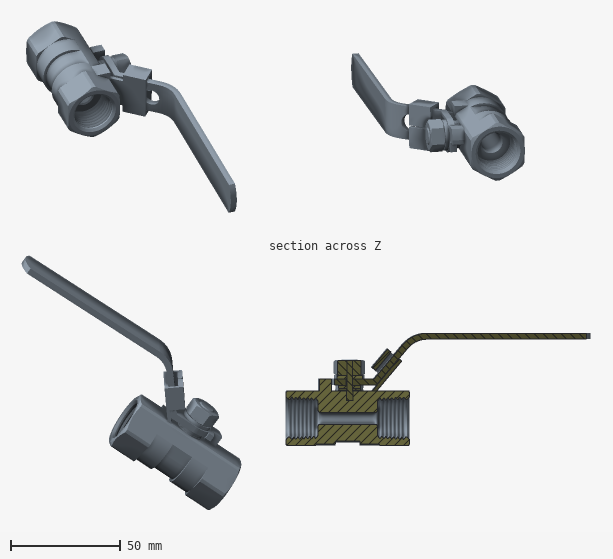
import cadquery as cq
import math


body_length = 56.5
body_centre_x = -0.8
hex_flats = 25.0
hex_round_dia = 28.0
hex_face_dia = 24.8
hex_chamfer_angle = 30.0
hex_length = 13.9
collar_dia = 24.9
neck_dia = 22.1
neck_length = 10.9

body_left = body_centre_x - body_length / 2
deck_y = hex_flats / 2
corner_radius = hex_flats / math.sqrt(3)
shoulder_y = (corner_radius - neck_dia / 2) * math.sqrt(3)

bore_dia = 9.2
bore_mouth_dia = 10.5
thread_entry_dia = 20.9
thread_outer_crest_dia = 18.6
thread_inner_crest_dia = 17.5
thread_groove_depth = 1.1
thread_pitch = 1.8
thread_turns = 8

block_left = 7.1
block_length = 7.5
block_top_z = neck_dia / 2
post_radius = 14.5
post_outer_x = -14.3
post_inner_x = -8.1
post_top_z = 7.0

stem_dia = 8.1
stem_tip_dia = 6.7
stem_tip_slope = 0.6
stem_seat_depth = 4.2
stem_projection = 0.4
seal_dia, seal_height = 13.0, 0.5
thrust_dia, thrust_height = 12.5, 0.7
gland_dia, gland_height = 12.8, 1.4
washer_dia, washer_height = 14.0, 1.7
nut_flats = 13.0
nut_height = 6.7
nut_face_dia = 12.8
nut_turn = -15.0

lever_width = 16.0
lever_thickness = 2.9
lever_top_y = 39.0
lever_slope = 50.0
lever_turn = 1.75
lower_bend_x = 12.4
upper_bend_radius = 11.4
tip_radius = 13.4
overall_length = 139.2
tip_reach = body_left + overall_length
lever_hole_dia = 8.1
lever_hole_along = 17.8
lug_reach = 9.7
lug_root_x = -7.0
lug_top_z = -0.8
lug_bottom_z = -5.4

lock_length = 11.0
lock_depth = 8.6
lock_width = 21.0
lock_wall = 1.7
lock_seam_wall = 2.2
lock_start = 4.7
lock_seam = 0.8
lock_inner_fillet = 0.8
tongue_width = 13.9

thrust_y = deck_y + seal_height
gland_y = thrust_y + thrust_height
lever_y = gland_y + gland_height
washer_y = lever_y + lever_thickness
nut_y = washer_y + washer_height
nut_top_y = nut_y + nut_height
stem_top_y = nut_top_y + stem_projection


def block(x0, x1, y0, y1, z0, z1):
    """Box between two opposite corners."""
    return cq.Workplane("XY").box(x1 - x0, y1 - y0, z1 - z0, centered=False).translate((x0, y0, z0))


def upright_disc(dia, y, height):
    """Disc round the stem axis, rising from level y."""
    return cq.Workplane("XZ", origin=(0, y, 0)).circle(dia / 2).extrude(-height)


def flow_cylinder(dia, x0, x1):
    """Cylinder along the flow axis."""
    return cq.Workplane("YZ", origin=(x0, 0, 0)).circle(dia / 2).extrude(x1 - x0)


def chamfered_turning(length, dia, face_dia, angle):
    """Cylinder on +X from the origin with both ends turned down to face_dia."""
    chamfer = (dia - face_dia) / 2 * math.tan(math.radians(angle))
    profile = [
        (0, 0),
        (0, face_dia / 2),
        (chamfer, dia / 2),
        (length - chamfer, dia / 2),
        (length, face_dia / 2),
        (length, 0),
    ]
    return cq.Workplane("XY").polyline(profile).close().revolve(360, (0, 0, 0), (1, 0, 0))


def port_cutter():
    """Tapered thread with ring grooves, opening at x = 0 and running along +X."""
    depth = thread_pitch * thread_turns
    taper = (thread_outer_crest_dia - thread_inner_crest_dia) / 2 / depth
    entry = (thread_entry_dia - thread_outer_crest_dia) / 2
    bore_chamfer = (bore_mouth_dia - bore_dia) / 2

    def crest(x):
        return thread_outer_crest_dia / 2 - taper * x

    profile = [(0, 0), (0, thread_entry_dia / 2), (entry, crest(entry))]
    for turn in range(1, thread_turns):
        crest_x = turn * thread_pitch
        root_x = crest_x + thread_pitch / 2
        profile.append((crest_x, crest(crest_x)))
        profile.append((root_x, crest(root_x) + thread_groove_depth))
    profile += [
        (depth, crest(depth)),
        (depth, bore_mouth_dia / 2),
        (depth + bore_chamfer, bore_dia / 2),
        (depth + bore_chamfer, 0),
    ]
    return cq.Workplane("XY").polyline(profile).close().revolve(360, (0, 0, 0), (1, 0, 0))


def make_body():
    body_right = body_left + body_length
    left_hex_end = body_left + hex_length
    right_hex_end = body_right - hex_length
    neck_left = body_centre_x - neck_length / 2
    neck_right = body_centre_x + neck_length / 2

    turning = chamfered_turning(body_length, hex_round_dia, hex_face_dia, hex_chamfer_angle)
    bar = cq.Workplane("YZ").polygon(6, 2 * corner_radius).extrude(body_length)
    bar = bar.rotate((0, 0, 0), (1, 0, 0), 30).intersect(turning).translate((body_left, 0, 0))

    waist = block(left_hex_end, right_hex_end, -corner_radius, shoulder_y, -corner_radius, corner_radius)
    waist = waist.cut(flow_cylinder(collar_dia, left_hex_end, neck_left))
    waist = waist.cut(flow_cylinder(collar_dia, neck_right, right_hex_end))
    waist = waist.cut(flow_cylinder(neck_dia, neck_left, neck_right))
    waist = waist.cut(block(neck_left, neck_right, 0, shoulder_y, -neck_dia / 2, neck_dia / 2))
    body = bar.cut(waist)

    body = body.union(block(block_left, block_left + block_length, shoulder_y, deck_y, 0, block_top_z))
    post = upright_disc(2 * post_radius, deck_y, washer_y - deck_y)
    post = post.intersect(block(post_outer_x, post_inner_x, deck_y, washer_y, 0, post_top_z))
    body = body.union(post)

    port = port_cutter()
    body = body.cut(port.translate((body_left, 0, 0)))
    body = body.cut(port.mirror("YZ").translate((body_right, 0, 0)))
    body = body.cut(flow_cylinder(bore_dia, body_left, body_right))
    return body.cut(upright_disc(stem_dia, deck_y - stem_seat_depth, stem_seat_depth))


def make_stem():
    bottom_y = deck_y - stem_seat_depth
    tip_chamfer = (stem_dia - stem_tip_dia) / 2
    stem = upright_disc(stem_dia, bottom_y, stem_top_y - bottom_y)
    return stem.faces(">Y").chamfer(tip_chamfer * stem_tip_slope, tip_chamfer)


def make_ring(dia, y, height):
    """Flat ring on the stem: seal, thrust ring, gland or washer."""
    return upright_disc(dia, y, height).cut(upright_disc(stem_dia, y, height))


def make_nut():
    corner_dia = nut_flats * 2 / math.sqrt(3)
    turning = chamfered_turning(nut_height, corner_dia, nut_face_dia, hex_chamfer_angle)
    turning = turning.rotate((0, 0, 0), (0, 0, 1), 90).translate((0, nut_y, 0))
    nut = cq.Workplane("XZ", origin=(0, nut_y, 0)).polygon(6, corner_dia).extrude(-nut_height)
    nut = nut.rotate((0, 0, 0), (0, 1, 0), nut_turn).intersect(turning)
    return nut.cut(upright_disc(stem_dia, nut_y, nut_height))


def onto_slope(shape):
    """Carry a shape from the X axis onto the underside of the lever's sloping stretch."""
    return shape.rotate((0, 0, 0), (0, 0, 1), lever_slope).translate((lower_bend_x, lever_y, 0))


def make_lever():
    slope = math.radians(lever_slope)
    half_width = lever_width / 2
    tip_x = tip_radius + (tip_reach - tip_radius) / math.cos(math.radians(lever_turn))
    tip_shoulder_x = tip_x - tip_radius + math.sqrt(tip_radius**2 - half_width**2)

    grip_y = lever_top_y - lever_thickness
    upper_corner_x = lower_bend_x + (grip_y - lever_y) / math.tan(slope)
    centre_x = upper_corner_x + upper_bend_radius * math.tan(slope / 2)
    centre_y = grip_y - upper_bend_radius

    def bend_point(radius, angle):
        return (centre_x - radius * math.sin(angle), centre_y + radius * math.cos(angle))

    outer_radius = upper_bend_radius + lever_thickness
    side = (
        cq.Workplane("XY")
        .moveTo(-lug_reach, lever_y)
        .lineTo(lower_bend_x, lever_y)
        .lineTo(*bend_point(upper_bend_radius, slope))
        .threePointArc(bend_point(upper_bend_radius, slope / 2), bend_point(upper_bend_radius, 0))
        .lineTo(tip_x, grip_y)
        .lineTo(tip_x, lever_top_y)
        .lineTo(*bend_point(outer_radius, 0))
        .threePointArc(bend_point(outer_radius, slope / 2), bend_point(outer_radius, slope))
        .lineTo(lower_bend_x - lever_thickness * math.tan(slope / 2), washer_y)
        .lineTo(-lug_reach, washer_y)
        .close()
        .extrude(half_width, both=True)
    )

    outline = (
        cq.Workplane("XZ")
        .moveTo(0, half_width)
        .lineTo(tip_shoulder_x, half_width)
        .threePointArc((tip_x, 0), (tip_shoulder_x, -half_width))
        .lineTo(0, -half_width)
        .threePointArc((-half_width, 0), (0, half_width))
        .close()
        .extrude(-lever_top_y)
    )

    lug_outline = [
        (lug_root_x, lug_bottom_z),
        (-lug_reach, lug_bottom_z),
        (-lug_reach, lug_top_z),
        (lug_root_x, 0),
    ]
    lug = cq.Workplane("XZ").polyline(lug_outline).close().extrude(-lever_top_y)
    lever = side.intersect(outline.union(lug))

    lever = lever.cut(upright_disc(stem_dia, lever_y, lever_thickness))
    slope_hole = upright_disc(lever_hole_dia, 0, lever_thickness).translate((lever_hole_along, 0, 0))
    lever = lever.cut(onto_slope(slope_hole))
    return lever.rotate((0, 0, 0), (0, 1, 0), lever_turn)


def make_lock():
    """Folded sleeve round the lever with a tongue reaching down to the body."""
    half_width = lock_width / 2
    lock_end = lock_start + lock_length
    lock_top = lock_depth - lock_wall
    sleeve = block(lock_start, lock_end, -lock_wall, lock_top, -half_width, half_width)
    cavity = block(
        lock_start, lock_end, 0, lock_top - lock_seam_wall, lock_wall - half_width, half_width - lock_wall
    )
    sleeve = sleeve.cut(cavity.edges("|X").fillet(lock_inner_fillet))
    sleeve = sleeve.cut(block(lock_start, lock_end, 0, lock_top, -lock_seam / 2, lock_seam / 2))

    tongue = block(-lock_length, lock_start, -lock_wall, 0, -tongue_width / 2, tongue_width / 2)
    lock = onto_slope(sleeve.union(tongue))
    lock = lock.cut(block(-lower_bend_x, 2 * lower_bend_x, 0, deck_y, -half_width, half_width))
    return lock.rotate((0, 0, 0), (0, 1, 0), lever_turn)


body = make_body()
stem = make_stem()
seal = make_ring(seal_dia, deck_y, seal_height)
thrust_ring = make_ring(thrust_dia, thrust_y, thrust_height)
gland = make_ring(gland_dia, gland_y, gland_height)
lever = make_lever()
washer = make_ring(washer_dia, washer_y, washer_height)
nut = make_nut()
lock = make_lock()

result = cq.Compound.makeCompound(
    [
        body.val(),
        stem.val(),
        seal.val(),
        thrust_ring.val(),
        gland.val(),
        lever.val(),
        washer.val(),
        nut.val(),
        lock.val(),
    ]
)